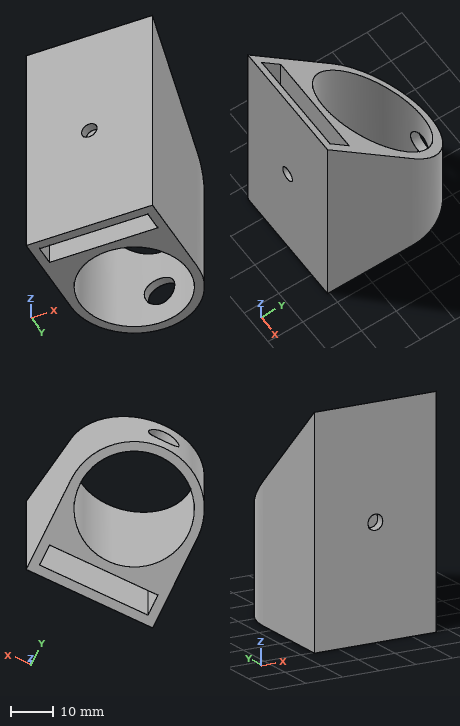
import cadquery as cq

width = 33.3
depth = 41.15
height = 60.0
back_height = 20.0

bore_diameter = 28.5
wall = (width - bore_diameter) / 2
round_radius = width / 2
slot_width = bore_diameter

front_hole_diameter = 4.0
front_hole_height = height / 2
back_hole_diameter = 8.0
back_hole_height = back_height / 2

front_y = round_radius - depth
web_front_y = -bore_diameter / 2 - wall
slot_front_y = front_y + wall
slot_depth = web_front_y - slot_front_y
slot_center_y = (web_front_y + slot_front_y) / 2


def make_body():
    """D-shaped column cut by a plane that falls from front to back."""
    column = (
        cq.Workplane("XY")
        .moveTo(-round_radius, front_y)
        .lineTo(round_radius, front_y)
        .lineTo(round_radius, 0)
        .threePointArc((0, round_radius), (-round_radius, 0))
        .close()
        .extrude(height)
    )
    side_profile = (
        cq.Workplane("YZ")
        .polyline([
            (front_y, 0),
            (round_radius, 0),
            (round_radius, back_height),
            (front_y, height),
        ])
        .close()
        .extrude(round_radius, both=True)
    )
    return column.intersect(side_profile)


def make_bore():
    return cq.Workplane("XY").circle(bore_diameter / 2).extrude(height)


def make_slot():
    return (
        cq.Workplane("XY")
        .center(0, slot_center_y)
        .rect(slot_width, slot_depth)
        .extrude(height)
    )


def make_cross_hole(diameter, hole_height, start_y, end_y):
    """Cylinder along Y between two Y positions."""
    return cq.Workplane(
        cq.Solid.makeCylinder(
            diameter / 2,
            end_y - start_y,
            cq.Vector(0, start_y, hole_height),
            cq.Vector(0, 1, 0),
        )
    )


front_hole = make_cross_hole(front_hole_diameter, front_hole_height, front_y, slot_center_y)
back_hole = make_cross_hole(back_hole_diameter, back_hole_height, 0, round_radius)

result = (
    make_body()
    .cut(make_bore())
    .cut(make_slot())
    .cut(front_hole)
    .cut(back_hole)
)